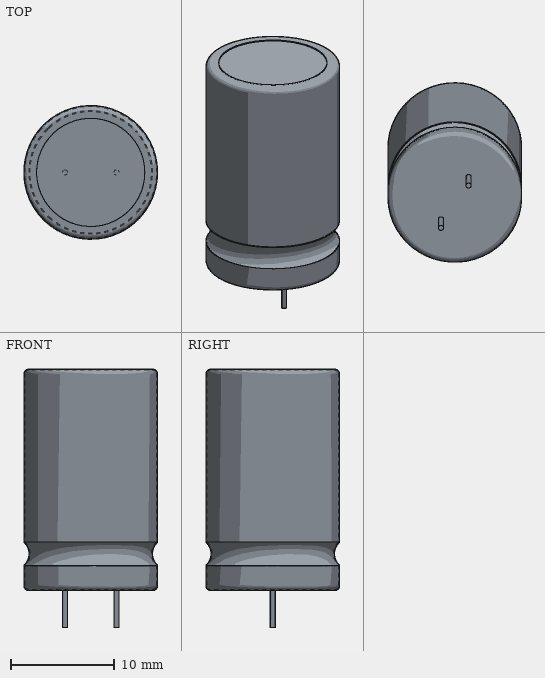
import cadquery as cq
import math

case_diameter = 13.0
case_height = 21.5
edge_radius = 0.5

groove_bottom = 2.45
groove_top = 4.7
groove_depth = 0.5

sleeve_thickness = 0.1
opening_diameter = 10.5

lead_diameter = 0.5
lead_pitch = 5.0
lead_length = 3.6

case_radius = case_diameter / 2
opening_radius = opening_diameter / 2
groove_middle = (groove_bottom + groove_top) / 2
groove_half_height = (groove_top - groove_bottom) / 2
groove_radius = (groove_half_height**2 + groove_depth**2) / (2 * groove_depth)
groove_centre_radius = case_radius - groove_depth + groove_radius


def capacitor_form(inset):
    """Solid of revolution of the outer case shape, moved inward everywhere by inset."""
    side = case_radius - inset
    bottom = inset
    top = case_height - inset
    corner = edge_radius - inset
    corner_diagonal = corner * (1 - math.sqrt(0.5))

    arc_radius = groove_radius + inset
    arc_half_height = math.sqrt(arc_radius**2 - (groove_centre_radius - side)**2)
    neck = groove_centre_radius - arc_radius

    return (
        cq.Workplane("XZ")
        .moveTo(0, bottom)
        .lineTo(side - corner, bottom)
        .threePointArc((side - corner_diagonal, bottom + corner_diagonal), (side, bottom + corner))
        .lineTo(side, groove_middle - arc_half_height)
        .threePointArc((neck, groove_middle), (side, groove_middle + arc_half_height))
        .lineTo(side, top - corner)
        .threePointArc((side - corner_diagonal, top - corner_diagonal), (side - corner, top))
        .lineTo(0, top)
        .close()
        .revolve(360, (0, 0, 0), (0, 1, 0))
    )


def make_can():
    """Solid can that fills the sleeve; its top shows through the opening."""
    return capacitor_form(sleeve_thickness)


def make_sleeve():
    """Thin shell that encloses the can, open only in the middle of its top."""
    top_opening = (
        cq.Workplane("XY", origin=(0, 0, case_height - sleeve_thickness))
        .circle(opening_radius)
        .extrude(sleeve_thickness)
    )
    return capacitor_form(0).cut(make_can()).cut(top_opening)


def make_lead(x):
    """Round wire hanging from the underside of the case."""
    return (
        cq.Workplane("XY", origin=(x, 0, -lead_length))
        .circle(lead_diameter / 2)
        .extrude(lead_length)
    )


can = make_can()
sleeve = make_sleeve()
leads = [make_lead(side * lead_pitch / 2) for side in (-1, 1)]

result = cq.Compound.makeCompound([can.val(), sleeve.val(), *[lead.val() for lead in leads]])